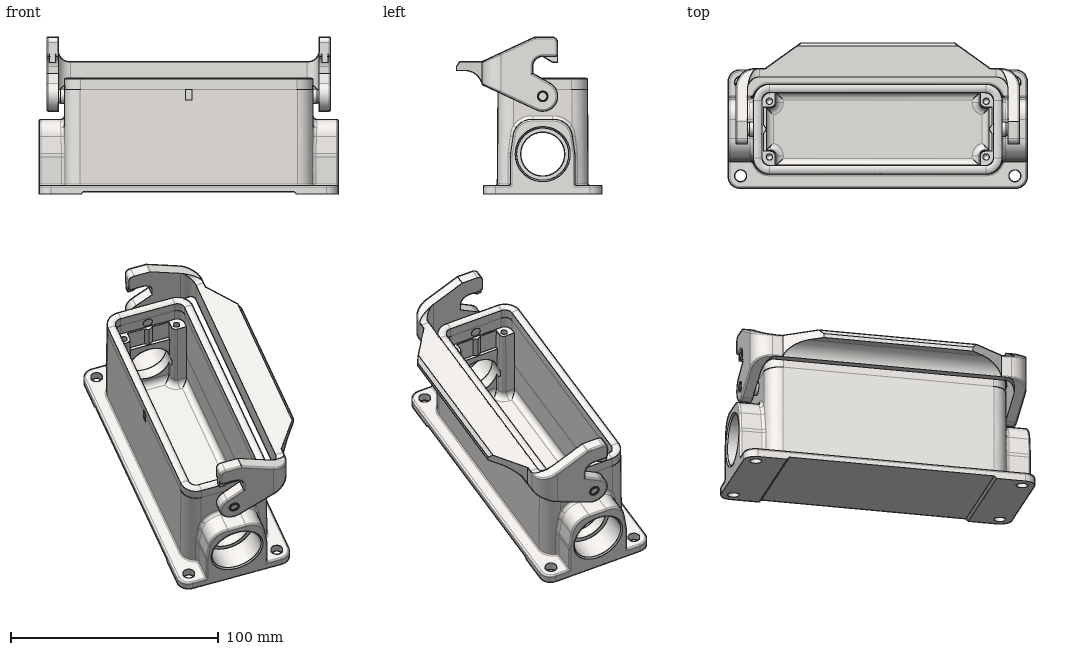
import cadquery as cq
import math

length = 144.0
plate_width = 57.0
plate_top = 4.3
plate_corner = 5.8
plate_edge_round = 0.9
plate_hole = 5.6
plate_hole_x = 66.0
plate_hole_y = 22.5
underside_gap = 1.2
underside_half = 51.8

hull_bottom_half_x = 60.0
hull_bottom_half_y = 21.9
hull_draft = 0.4
hull_corner = 7.8
plate_root_round = 0.6
collar_z = 50.4
rim_edge_z = 55.5
crown = 0.6
hull_top_half_x = hull_bottom_half_x - (collar_z - plate_top) * math.tan(math.radians(hull_draft))
hull_top_half_y = hull_bottom_half_y - (collar_z - plate_top) * math.tan(math.radians(hull_draft))
rim_width = 4.0
mark_width = 3.2
mark_bottom = 45.4
mark_depth = 0.5

cavity_half_x = hull_top_half_x - rim_width
cavity_half_y = hull_top_half_y - rim_width
cavity_corner = hull_corner - rim_width
cavity_floor = plate_top
floor_round = 3.3
wall_break_z = 23.0
ledge_z = 44.2
ledge_half_x = 54.9
pad_z = 33.1
pad_half_x = 53.4
post_x = 48.7
post_y = 10.0
post_draft = 1.0
post_round = 2.9
screw_x = 52.1
screw_y = 13.4
screw_hole = 3.0
screw_depth = 11.5
rib_tip_x = 53.5
rib_half_width = 2.0

entry_z = 19.3
entry_bore = 25.0
entry_hole = 21.0
entry_shoulder_x = 59.0
entry_mouth_chamfer = 0.7
entry_top = 36.0
entry_flat_half = 4.6
entry_arc_y = 14.3
entry_arc_z = 27.8
entry_side_y = 15.5
entry_side_z = 18.7
entry_side_round = 11.5
entry_root_round = 1.7

pin_z = 47.1
pin = 4.8
wall_boss = 7.0
arm_boss = 6.3
boss_joint_x = 61.8
pin_ring_outer = 5.0
pin_ring_inner = 4.0
pin_ring_depth = 0.5
arm_inner_x = 62.6
arm_outer_x = 68.3
bar_inner_y = 25.0
bar_outer_y = 29.1
bend_outer = 9.0
bend_inner = 5.8
arm_edge_round = 0.9
lever_top = 75.6
eye_radius = 7.2
lever_slope = math.radians(25)
finger_slope = math.radians(30)
bar_top = 63.8
bar_bottom = 52.7
nose_y = -7.2
nose_round = 2.7
nose_under_round = 1.2
notch_roof = 66.2
notch_radius = 4.8
hook_bottom = 63.4
hook_flat_y = -4.9
hook_width = 2.9
grip_y = 41.5
grip_end_half_x = 36.9
grip_root_half_x = 54.1
grip_thickness = 4.3
grip_curve_y = 36.7
grip_curve_mid = (33.4, 58.5)
grip_bevel_depth = 2.3
grip_bevel_width = 1.6


def rounded_block(half_x, half_y, corner, bottom, top):
    """Upright block with round vertical edges."""
    block = cq.Workplane("XY").workplane(offset=bottom).rect(2 * half_x, 2 * half_y)
    return block.extrude(top - bottom).edges("|Z").fillet(corner)


def tapered_block(half_x, half_y, corner, bottom, top, draft):
    """Upright block with round vertical edges whose sides lean inwards by the draft angle."""
    outline = cq.Sketch().rect(2 * half_x, 2 * half_y).vertices().fillet(corner)
    return cq.Workplane("XY").workplane(offset=bottom).placeSketch(outline).extrude(top - bottom, taper=draft)


def rod(diameter, x_start, x_end, z):
    """Cylinder along X at Y = 0."""
    face = cq.Workplane("YZ", origin=(x_start, 0, z)).circle(diameter / 2)
    return face.extrude(x_end - x_start)


def both_ends(shape):
    """The shape together with its copy mirrored to the other X end."""
    return shape.union(shape.mirror("YZ"))


def make_underside_gap():
    gap_top_half = underside_half - underside_gap
    outline = cq.Workplane("XZ").polyline([
        (-underside_half, 0), (underside_half, 0),
        (gap_top_half, underside_gap), (-gap_top_half, underside_gap),
    ]).close()
    return outline.extrude(plate_width, both=True)


def make_hull():
    lower = tapered_block(
        hull_bottom_half_x, hull_bottom_half_y, hull_corner, plate_top, collar_z, hull_draft,
    )
    band = rounded_block(hull_top_half_x, hull_top_half_y, hull_corner, collar_z, rim_edge_z)
    return lower.union(band)


def make_crown():
    """Arched strip that runs round the top of the rim."""
    middle_x = hull_top_half_x - rim_width / 2
    middle_y = hull_top_half_y - rim_width / 2
    path = (
        rounded_block(middle_x, middle_y, hull_corner - rim_width / 2, rim_edge_z, rim_edge_z + 1.5)
        .faces("<Z").wires().val()
    )
    section = (
        cq.Workplane("YZ", origin=(0, -middle_y, rim_edge_z))
        .moveTo(-rim_width / 2, 0)
        .threePointArc((0, crown), (rim_width / 2, 0))
        .close()
    )
    return section.sweep(cq.Workplane(path))


def make_post():
    """Screw post with a round foot that flares into the floor, in the +X +Y corner."""
    half_x = (length / 2 - post_x) / 2
    half_y = (plate_width / 2 - post_y) / 2
    post = tapered_block(half_x, half_y, post_round, cavity_floor, ledge_z, post_draft)
    foot = cq.Workplane("XY").box(length, plate_width, plate_top, centered=(True, True, False))
    post = foot.union(post).faces("<Z[1]").edges("not(<X or >X or <Y or >Y)").fillet(floor_round)
    return post.translate((post_x + half_x, post_y + half_y, 0))


def make_cavity():
    """Space inside the walls, around the four screw posts."""
    draft_shift = (collar_z - wall_break_z) * math.tan(math.radians(hull_draft))
    low_half_x = cavity_half_x - draft_shift
    low_half_y = cavity_half_y - draft_shift
    floor_space = cq.Workplane("XY").box(
        2 * pad_half_x, 2 * low_half_y, wall_break_z - cavity_floor, centered=(True, True, False),
    ).translate((0, 0, cavity_floor)).faces("<Z").edges().fillet(floor_round)
    wall_space = tapered_block(low_half_x, low_half_y, cavity_corner, wall_break_z, collar_z, -hull_draft)
    band_space = rounded_block(cavity_half_x, cavity_half_y, cavity_corner, collar_z, rim_edge_z + crown)
    cavity = floor_space.union(wall_space).union(band_space)
    for top, inner_x in ((ledge_z, ledge_half_x), (pad_z, pad_half_x)):
        height = top - cavity_floor
        wall = cq.Workplane("XY").box(rim_width, plate_width, height, centered=(False, True, False))
        cavity = cavity.cut(both_ends(wall.translate((inner_x, 0, cavity_floor))))
    posts = both_ends(make_post())
    return cavity.cut(posts).cut(posts.mirror("XZ"))


def make_ribs():
    """Upright wedge in the middle of each end wall."""
    rib = (
        cq.Workplane("XY").workplane(offset=pad_z)
        .polyline([
            (ledge_half_x, -rib_half_width), (rib_tip_x, 0), (ledge_half_x, rib_half_width),
        ]).close().extrude(ledge_z - pad_z)
    )
    return both_ends(rib)


def make_screw_holes():
    hole_radius = screw_hole / 2
    profile = [
        (0, ledge_z), (hole_radius, ledge_z), (hole_radius, ledge_z - screw_depth),
        (0, ledge_z - screw_depth - hole_radius),
    ]
    drill = cq.Workplane("XZ").polyline(profile).close().revolve(360, (0, 0), (0, 1))
    spots = cq.Workplane("XY").rect(2 * screw_x, 2 * screw_y, forConstruction=True).vertices()
    return spots.eachpoint(lambda spot: drill.val().located(spot), combine="a")


def make_entries():
    """Arch-shaped cable entry at each end, longer than the finished housing."""
    diagonal = math.sqrt(0.5)
    arc_mid = (
        entry_flat_half + (entry_arc_y - entry_flat_half) * diagonal,
        entry_arc_z + (entry_top - entry_arc_z) * diagonal,
    )
    arch = (
        cq.Workplane("YZ", origin=(cavity_half_x + 1.5, 0, 0))
        .moveTo(entry_side_y, 0).lineTo(entry_side_y, entry_side_z).lineTo(entry_arc_y, entry_arc_z)
        .threePointArc(arc_mid, (entry_flat_half, entry_top)).lineTo(-entry_flat_half, entry_top)
        .threePointArc((-arc_mid[0], arc_mid[1]), (-entry_arc_y, entry_arc_z))
        .lineTo(-entry_side_y, entry_side_z).lineTo(-entry_side_y, 0).close()
        .extrude(length)
    )
    side_corners = cq.selectors.BoxSelector(
        (0, -length, entry_side_z - 0.1), (2 * length, length, entry_side_z + 0.1),
    )
    arch = arch.edges(side_corners).fillet(entry_side_round)
    return both_ends(arch)


def make_entry_bores():
    hole = rod(entry_hole, post_x, length / 2, entry_z)
    bore = rod(entry_bore, entry_shoulder_x, length / 2, entry_z)
    mouth = (
        cq.Workplane("YZ", origin=(length / 2, 0, entry_z)).circle(entry_bore / 2 + entry_mouth_chamfer)
        .workplane(offset=-entry_mouth_chamfer).circle(entry_bore / 2).loft()
    )
    return both_ends(hole.union(bore).union(mouth))


def make_mark():
    """Shallow locating mark below the band on the -Y wall."""
    front_y = -hull_top_half_y + mark_depth
    height = collar_z - mark_bottom
    length_y = plate_width / 2 + front_y
    mark = cq.Workplane("XY").box(mark_width, length_y, height, centered=(True, False, False))
    return mark.translate((0, -plate_width / 2, mark_bottom))


def make_outside():
    """Plate, hull and cable entries as one block, with rounded inner and outer edges."""
    reach = hull_bottom_half_x + 0.3
    entry_root = cq.selectors.BoxSelector(
        (-reach, -entry_side_y - 0.1, plate_top), (reach, entry_side_y + 0.1, entry_top + 0.1),
    )
    upright = make_hull().union(make_entries()).edges(entry_root).fillet(entry_root_round)
    slab = cq.Workplane("XY").box(4 * length, 4 * length, plate_top, centered=(True, True, False))
    plate_root = cq.selectors.BoxSelector(
        (-length, -plate_width, plate_top - 0.01), (length, plate_width, plate_top + 0.01),
    )
    outside = upright.union(slab).edges(plate_root).fillet(plate_root_round)
    outside = outside.intersect(rounded_block(length / 2, plate_width / 2, plate_corner, 0, lever_top))
    upper_edges = cq.selectors.BoxSelector(
        (-length, -plate_width, plate_top - 0.01), (length, plate_width, entry_top + 0.01),
    )
    outside = outside.faces("<X or >X").edges(upper_edges).fillet(plate_edge_round)
    holes = cq.Workplane("XY").rect(2 * plate_hole_x, 2 * plate_hole_y, forConstruction=True)
    return outside.cut(holes.vertices().circle(plate_hole / 2).extrude(plate_top))


def make_housing():
    housing = make_outside().union(make_crown()).cut(make_cavity()).union(make_ribs())
    for tool in (make_underside_gap(), make_screw_holes(), make_entry_bores(), make_mark()):
        housing = housing.cut(tool)
    housing = housing.union(both_ends(rod(wall_boss, cavity_half_x + 1.5, boss_joint_x, pin_z)))
    return housing.cut(both_ends(rod(pin, cavity_half_x, arm_inner_x, pin_z)))


def lever_outline():
    """Side outline of an arm, in Y and Z."""
    def eye_point(angle):
        return eye_radius * math.sin(angle), pin_z - eye_radius * math.cos(angle)

    lower_y, lower_z = eye_point(lever_slope)
    upper_y, upper_z = eye_point(math.pi + finger_slope)
    end_y = bar_outer_y
    lower_end_z = lower_z + (end_y - lower_y) * math.tan(lever_slope)
    peak_y = end_y - (lever_top - bar_top) / math.tan(lever_slope)
    notch_z = notch_roof - notch_radius
    finger_z = upper_z + (notch_radius - upper_y) * math.tan(finger_slope)
    diagonal = math.sqrt(0.5)
    return (
        cq.Workplane("YZ").moveTo(lower_y, lower_z).lineTo(end_y, lower_end_z).lineTo(end_y, bar_top)
        .lineTo(peak_y, lever_top).lineTo(nose_y + nose_round, lever_top)
        .radiusArc((nose_y, lever_top - nose_round), -nose_round)
        .lineTo(nose_y, notch_roof + nose_under_round)
        .radiusArc((nose_y + nose_under_round, notch_roof), -nose_under_round).lineTo(0, notch_roof)
        .threePointArc((notch_radius * diagonal, notch_z + notch_radius * diagonal), (notch_radius, notch_z))
        .lineTo(notch_radius, finger_z).lineTo(upper_y, upper_z)
        .threePointArc((-eye_radius, pin_z), (lower_y, lower_z)).close()
    )


def make_bar_trim():
    """Space above the bar, rising to the arms along the inside of each bend."""
    straight_half = arm_inner_x - bend_inner
    bend_y = bar_inner_y - bend_inner
    arm_z = bar_top + (bar_outer_y - bend_y) * math.tan(lever_slope)
    bulge_x = straight_half + 0.75 * bend_inner
    bulge_z = bar_top + 0.35 * (arm_z - bar_top)
    return (
        cq.Workplane("XZ", origin=(0, bend_y, 0)).moveTo(-straight_half, bar_top)
        .lineTo(straight_half, bar_top)
        .threePointArc((bulge_x, bulge_z), (arm_inner_x, arm_z))
        .lineTo(arm_inner_x, lever_top).lineTo(-arm_inner_x, lever_top).lineTo(-arm_inner_x, arm_z)
        .threePointArc((-bulge_x, bulge_z), (-straight_half, bar_top)).close()
        .extrude(-plate_width)
    )


def make_frame():
    """The two arms and the bar that joins them, as one bent strip."""
    front_y = -eye_radius

    def slab(half_x, back_y, corner):
        block = cq.Workplane("XY").box(2 * half_x, back_y - front_y, lever_top, centered=(True, False, False))
        return block.translate((0, front_y, 0)).edges("|Z and >Y").fillet(corner)

    strip = slab(arm_outer_x, bar_outer_y, bend_outer).cut(slab(arm_inner_x, bar_inner_y, bend_inner))
    frame = strip.intersect(lever_outline().extrude(length / 2, both=True))
    arm_area = cq.selectors.BoxSelector(
        (-length, front_y - 1.5, 0), (length, bar_outer_y - bend_outer - 0.1, length),
    )
    notch_area = cq.selectors.BoxSelector(
        (-length, nose_y + 0.1, notch_roof - notch_radius + 0.1),
        (length, notch_radius + 0.1, notch_roof + 0.1),
    )
    for face in (">X", "<X"):
        frame = frame.faces(face).edges(arm_area - notch_area).fillet(arm_edge_round)
    trim = make_bar_trim()
    return frame.cut(trim).cut(trim.mirror("XY", (0, 0, (bar_top + bar_bottom) / 2)))


def make_grip():
    side = (
        cq.Workplane("YZ").moveTo(bar_inner_y, bar_bottom).lineTo(bar_outer_y, bar_bottom)
        .threePointArc(grip_curve_mid, (grip_curve_y, bar_top - grip_thickness))
        .lineTo(grip_y, bar_top - grip_thickness).lineTo(grip_y, bar_top - grip_bevel_depth)
        .lineTo(grip_y - grip_bevel_width, bar_top).lineTo(bar_inner_y, bar_top).close()
        .extrude(length / 2, both=True)
    )
    plan = cq.Workplane("XY").polyline([
        (-grip_root_half_x, bar_inner_y), (grip_root_half_x, bar_inner_y), (grip_root_half_x, bar_outer_y),
        (grip_end_half_x, grip_y), (-grip_end_half_x, grip_y), (-grip_root_half_x, bar_outer_y),
    ]).close().extrude(lever_top)
    return side.intersect(plan)


def make_hooks():
    """Small latch under the nose of each arm."""
    middle_x = (arm_inner_x + arm_outer_x) / 2
    hook = (
        cq.Workplane("YZ", origin=(middle_x, 0, 0))
        .moveTo(nose_y + nose_under_round, notch_roof + nose_under_round)
        .lineTo(nose_y, notch_roof + nose_under_round).lineTo(nose_y, hook_bottom)
        .lineTo(hook_flat_y, hook_bottom).lineTo(0, notch_roof).close()
        .extrude(hook_width / 2, both=True)
    )
    return both_ends(hook)


def make_pins():
    """Pivot pin through each end wall, with a short boss on the inside of the arm."""
    pin_rod = rod(pin, cavity_half_x, arm_inner_x, pin_z)
    return both_ends(pin_rod.union(rod(arm_boss, boss_joint_x, arm_inner_x, pin_z)))


def make_lever():
    frame = make_frame()
    lever = frame.union(make_grip()).union(make_hooks()).union(make_pins())
    ring = rod(pin_ring_outer, arm_outer_x - pin_ring_depth, arm_outer_x, pin_z)
    ring = ring.cut(rod(pin_ring_inner, arm_outer_x - pin_ring_depth, arm_outer_x, pin_z))
    return lever.cut(both_ends(ring))


housing = make_housing()
lever = make_lever()
result = cq.Compound.makeCompound([housing.val(), lever.val()])